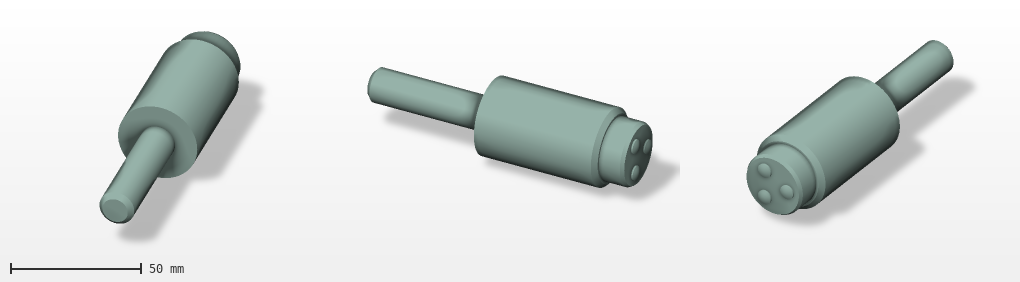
import cadquery as cq
import math

total_length = 115.0
rod_length = 51.1
body_length = 52.0
pad_height = 1.5
nose_length = total_length - rod_length - body_length - pad_height

rod_radius = 7.0
body_radius = 32.0 / 2
nose_radius = 13.0
rod_chamfer = 2.0
body_chamfer = 2.0
nose_chamfer_length = 1.5
nose_chamfer_depth = 0.8

pad_count = 3
pad_radius = 3.0
pad_rim_height = 0.7
pad_circle_radius = 6.9
pad_foot_depth = 1.2


def turned_profile():
    """Half section of rod, body and nose, with X as the radius."""
    body_end = rod_length + body_length
    nose_end = body_end + nose_length
    return [
        (0, 0),
        (rod_radius - rod_chamfer, 0),
        (rod_radius, rod_chamfer),
        (rod_radius, rod_length),
        (body_radius, rod_length),
        (body_radius, body_end - body_chamfer),
        (body_radius - body_chamfer, body_end),
        (nose_radius, body_end),
        (nose_radius, nose_end - nose_chamfer_length),
        (nose_radius - nose_chamfer_depth, nose_end),
        (0, nose_end),
    ]


def make_turned_parts():
    profile = cq.Workplane("XY").polyline(turned_profile()).close()
    return profile.revolve(360, (0, 0, 0), (0, 1, 0))


def make_pad(angle):
    """One domed pad; its foot sinks into the nose so the two fuse."""
    foot = total_length - pad_height - pad_foot_depth
    rim = total_length - pad_height + pad_rim_height
    dome_height = total_length - rim
    sphere_radius = (pad_radius**2 + dome_height**2) / (2 * dome_height)
    mid_radius = pad_radius / 2
    mid_height = total_length - sphere_radius + math.sqrt(sphere_radius**2 - mid_radius**2)
    pad = (
        cq.Workplane("XY")
        .moveTo(0, foot)
        .lineTo(pad_radius, foot)
        .lineTo(pad_radius, rim)
        .threePointArc((mid_radius, mid_height), (0, total_length))
        .close()
        .revolve(360, (0, 0, 0), (0, 1, 0))
    )
    x = pad_circle_radius * math.cos(angle)
    z = pad_circle_radius * math.sin(angle)
    return pad.translate((x, 0, z))


result = make_turned_parts()
for index in range(pad_count):
    result = result.union(make_pad(math.pi + index * 2 * math.pi / pad_count))